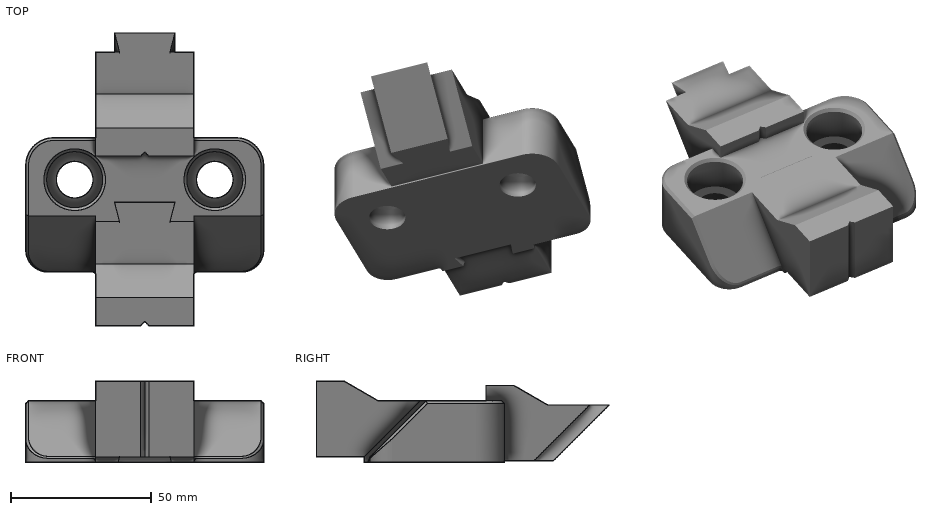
import cadquery as cq
import math

ROOT_2 = math.sqrt(2)

base_width = 85
base_height = 22
base_back = 15
back_corner_radius = 10
front_corner_radius = 8
rim_chamfer = 1

seat_width = 35
seat_front = -35
seat_lip = 2
seat_top = seat_front + base_height - seat_lip
seat_fillet = 1
wing_front = seat_front + 2
wing_slope_setback = 1.5
wing_slope_top = seat_top + wing_slope_setback * ROOT_2

bolt_spacing = 50
bolt_hole_diameter = 13
counterbore_diameter = 20
counterbore_depth = 13
counterbore_chamfer = 1

dovetail_neck = 18
dovetail_angle = 20
groove_depth = 5
dovetail_clearance = 0.1
dovetail_depth = groove_depth - dovetail_clearance

jaw_flat_length = 15
jaw_tip_length = 10
jaw_tip_rise = 7
jaw_ramp_angle = 30
jaw_ramp_length = jaw_tip_rise / math.tan(math.radians(jaw_ramp_angle))
jaw_front = seat_top - jaw_flat_length - jaw_ramp_length - jaw_tip_length
jaw_back = seat_top + dovetail_depth * ROOT_2
jaw_top = base_height + jaw_tip_rise
notch_width = 3
notch_depth = notch_width / 2

overall_length = 104.55
rear_jaw_shift = overall_length - (jaw_back - jaw_front)
rear_jaw_drop = 1.5
jaw_places = [(0, 0, 0), (0, rear_jaw_shift, -rear_jaw_drop)]

cutter_oversize = 1.4
cutter_corner_steps = 6
cutter_reach = 3


def side_profile(points, width):
    """Prism with the given (y, z) outline, centred across X."""
    return cq.Workplane("YZ").polyline(points).close().extrude(width / 2, both=True)


def dovetail_bar(depth):
    """Dovetail along the seat slope, running past both ends of the slope."""
    neck = dovetail_neck / 2
    tip = neck + depth * math.tan(math.radians(dovetail_angle))
    slope_plane = cq.Plane(origin=(0, seat_top, base_height), xDir=(1, 0, 0), normal=(0, 1, 1))
    outline = [(-neck, 0), (neck, 0), (tip, depth), (-tip, depth)]
    return cq.Workplane(slope_plane).polyline(outline).close().extrude(2 * base_height, both=True)


def wing_slope_height(y):
    return base_height + y - wing_slope_top


def slope_chamfer_section(x, y, out_x, out_y):
    """Triangle that cuts the chamfer between the wing slope and an upright wall.

    (x, y) lies one chamfer size inside the wall and (out_x, out_y) points from it to the wall.
    Moving both faces inwards by the chamfer size makes them meet above (x, y). The chamfer
    ends are the points of the two faces that lie square to that meeting point.
    """
    meeting_height = wing_slope_height(y) - rim_chamfer * ROOT_2
    square_step = rim_chamfer / ROOT_2
    wall_x = x + rim_chamfer * out_x
    wall_y = y + rim_chamfer * out_y
    on_slope = cq.Vector(x, y - square_step, meeting_height + square_step)
    on_wall = cq.Vector(wall_x, wall_y, meeting_height)
    sharp_edge = cq.Vector(wall_x, wall_y, wing_slope_height(wall_y))
    middle = (on_slope + on_wall) / 2
    corners = [middle + (point - middle) * cutter_oversize for point in (on_slope, sharp_edge, on_wall)]
    return cq.Wire.makePolygon(corners, close=True)


def corner_chamfer_sections(centre_x, centre_y, radius, start, end, outward):
    """Chamfer sections around an upright corner; outward is 1 if it is convex, -1 if concave."""
    inner_radius = radius - outward * rim_chamfer
    sections = []
    for step in range(cutter_corner_steps + 1):
        angle = math.radians(start + (end - start) * step / cutter_corner_steps)
        along_x = math.cos(angle)
        along_y = math.sin(angle)
        x = centre_x + inner_radius * along_x
        y = centre_y + inner_radius * along_y
        sections.append(slope_chamfer_section(x, y, outward * along_x, outward * along_y))
    return sections


def slope_chamfer_cutters():
    """Cutters for the slope rim of the +X wing: side, round corner, front and seat fillet."""
    side_start = slope_chamfer_section(base_width / 2 - rim_chamfer, wing_slope_top + cutter_reach, 1, 0)
    corner_x = base_width / 2 - front_corner_radius
    corner_y = wing_front + front_corner_radius
    corner = corner_chamfer_sections(corner_x, corner_y, front_corner_radius, 0, -90, 1)
    fillet_x = seat_width / 2 + seat_fillet
    fillet_y = wing_front - seat_fillet
    fillet = corner_chamfer_sections(fillet_x, fillet_y, seat_fillet, 90, 180, -1)
    return [
        cq.Solid.makeLoft([side_start, corner[0]], True),
        cq.Solid.makeLoft(corner, False),
        cq.Solid.makeLoft([corner[-1], fillet[0]], True),
        cq.Solid.makeLoft(fillet, False),
    ]


def seat_fillet_strip(side):
    """Concave fillet between the wing front and the side of the seat; side is 1 or -1."""
    seat_side = side * seat_width / 2
    return (
        cq.Workplane("XY")
        .moveTo(seat_side, wing_front)
        .lineTo(seat_side + side * seat_fillet, wing_front)
        .radiusArc((seat_side, wing_front - seat_fillet), -side * seat_fillet)
        .close()
        .extrude(base_height)
    )


def make_wings():
    """Rounded, chamfered block with its front cut down to the wing slope."""
    wing_length = base_back - wing_front
    wings = (
        cq.Workplane("XY")
        .box(base_width, wing_length, base_height, centered=(True, False, False))
        .translate((0, wing_front, 0))
        .edges("|Z and >Y").fillet(back_corner_radius)
        .edges("|Z and <Y").fillet(front_corner_radius)
        .faces(">Z").edges().chamfer(rim_chamfer)
    )
    for side in (1, -1):
        wings = wings.union(seat_fillet_strip(side))
    slope_foot = wing_slope_top - base_height
    above_slope = [(wing_slope_top, base_height), (slope_foot, 0), (slope_foot, base_height)]
    wings = wings.cut(side_profile(above_slope, base_width))
    for cutter in slope_chamfer_cutters():
        wings = wings.cut(cq.Workplane(cutter))
        wings = wings.cut(cq.Workplane(cutter.mirror("YZ")))
    return wings


def make_seat():
    outline = [
        (0, 0),
        (seat_front, 0),
        (seat_front, seat_lip),
        (seat_top, base_height),
        (0, base_height),
    ]
    return side_profile(outline, seat_width)


def bolt_hole_cutter():
    """Through hole, counterbore and rim chamfer as one turned shape on the Z axis."""
    hole_radius = bolt_hole_diameter / 2
    counterbore_radius = counterbore_diameter / 2
    counterbore_floor = base_height - counterbore_depth
    outline = [
        (0, 0),
        (hole_radius, 0),
        (hole_radius, counterbore_floor),
        (counterbore_radius, counterbore_floor),
        (counterbore_radius, base_height - counterbore_chamfer),
        (counterbore_radius + counterbore_chamfer, base_height),
        (0, base_height),
    ]
    return cq.Workplane("XZ").polyline(outline).close().revolve(360, (0, 0, 0), (0, 1, 0))


def make_base(rear_jaw):
    """Base with the dovetail groove, the bolt holes and a recess that fits the rear jaw."""
    base = make_wings().union(make_seat()).cut(dovetail_bar(groove_depth))
    for side in (1, -1):
        base = base.cut(bolt_hole_cutter().translate((side * bolt_spacing / 2, 0, 0)))
    return base.cut(rear_jaw)


def make_jaw():
    """Jaw with a raised tip, a dovetail on its sloped back and a V notch down its front."""
    outline = [
        (jaw_front, seat_lip),
        (seat_front, seat_lip),
        (seat_top, base_height),
        (seat_top - jaw_flat_length, base_height),
        (jaw_front + jaw_tip_length, jaw_top),
        (jaw_front, jaw_top),
    ]
    block = side_profile(outline, seat_width)
    dovetail_limits = (
        cq.Workplane("XY", origin=(0, jaw_front, seat_lip))
        .box(seat_width, jaw_back - jaw_front, base_height - seat_lip, centered=(True, False, False))
    )
    dovetail = dovetail_bar(dovetail_depth).intersect(dovetail_limits)
    notch = (
        cq.Workplane("XY")
        .moveTo(-notch_width / 2, jaw_front)
        .lineTo(0, jaw_front + notch_depth)
        .lineTo(notch_width / 2, jaw_front)
        .close()
        .extrude(jaw_top)
    )
    return block.union(dovetail).cut(notch)


jaws = [make_jaw().translate(place).solids() for place in jaw_places]
rear_jaw = jaws[-1]
base = make_base(rear_jaw).solids()

result = cq.Compound.makeCompound([base.val(), *[jaw.val() for jaw in jaws]])